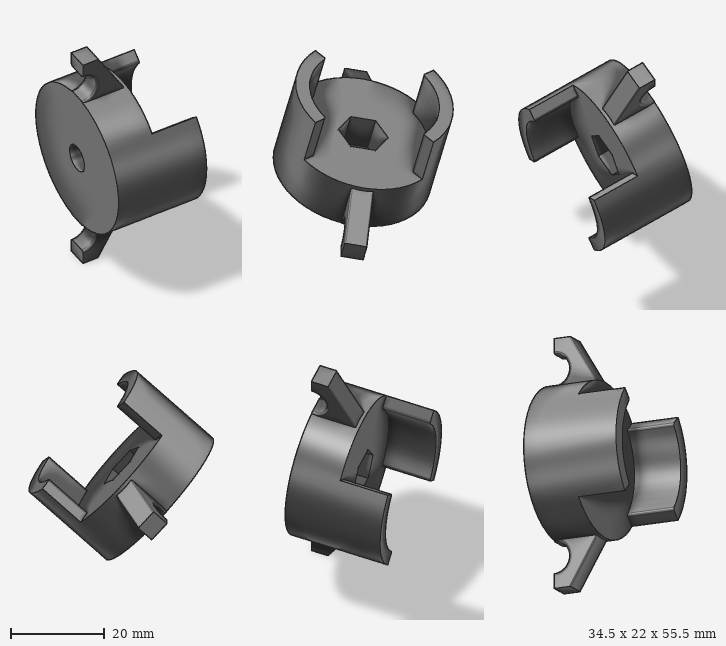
import cadquery as cq
import math

outer_radius = 17.25
wall_thickness = 3.05
body_length = 22.0
bore_radius = 3.1

nut_across_flats = 9.45
nut_seat_thickness = 3.05

prong_length = 11.0
prong_height = 22.85
prong_edge_round = 0.55

overall_height = 55.5
lug_width = 4.9
lug_tip_depth = 3.9
lug_root_depth = 10.15
notch_radius = 3.5
notch_round = 0.55
lug_tip_height = 3.45
lug_back_round = 0.2

overlap = 0.55
half_height = overall_height / 2
inner_radius = outer_radius - wall_thickness
front_y = -body_length / 2
shoulder_y = body_length / 2 - prong_length


def cylinder_along_y(radius, start_y, length):
    plane = cq.Workplane("XZ", origin=(0, start_y, 0))
    return plane.circle(radius).extrude(-length)


def make_cup():
    """Solid base up to the shoulder, with an open tube beyond it."""
    cup = cylinder_along_y(outer_radius, front_y, body_length)
    return cup.cut(cylinder_along_y(inner_radius, shoulder_y, prong_length))


def make_nut_pocket():
    """Hexagon with flats facing up and down, from the nut seat to the shoulder."""
    seat_y = front_y + nut_seat_thickness
    across_corners = nut_across_flats / math.cos(math.pi / 6)
    hexagon = cq.Workplane("XZ", origin=(0, seat_y, 0)).polygon(6, across_corners)
    return hexagon.extrude(-(shoulder_y - seat_y))


def make_prong_gap(side):
    """Wedge with radial flanks that clears the open end above (1) or below (-1) the prongs."""
    flank_angle = math.asin(prong_height / 2 / outer_radius)
    reach = 2 * outer_radius
    wedge_x = reach * math.cos(flank_angle)
    wedge_z = side * reach * math.sin(flank_angle)
    plane = cq.Workplane("XZ", origin=(0, shoulder_y, 0))
    outline = plane.polyline([(0, 0), (wedge_x, wedge_z), (-wedge_x, wedge_z)]).close()
    return outline.extrude(-(prong_length + overlap))


def round_prong_edges(cup):
    """Ease the four edges where the prong flanks meet the inner wall."""
    edge_x = inner_radius * math.sqrt(1 - (prong_height / 2 / outer_radius) ** 2)
    edge_z = inner_radius * prong_height / 2 / outer_radius
    edge_y = shoulder_y + prong_length / 2
    for side_x in (-1, 1):
        for side_z in (-1, 1):
            edge_point = (side_x * edge_x, edge_y, side_z * edge_z)
            edge = cq.selectors.NearestToPointSelector(edge_point)
            cup = cup.edges("|Y").edges(edge).fillet(prong_edge_round)
    return cup


def make_lug():
    """Upper lug: sloped back, and a round notch with eased edges in its front."""
    slope = (half_height - outer_radius) / (lug_root_depth - lug_tip_depth)
    buried_z = outer_radius - overlap
    buried_depth = lug_root_depth + (outer_radius - buried_z) / slope
    notch_z = half_height - lug_tip_height - notch_radius
    lug = (
        cq.Workplane("YZ")
        .moveTo(front_y, buried_z)
        .lineTo(front_y, notch_z - notch_radius)
        .threePointArc(
            (front_y + notch_radius, notch_z), (front_y, notch_z + notch_radius)
        )
        .lineTo(front_y, half_height)
        .lineTo(front_y + lug_tip_depth, half_height)
        .lineTo(front_y + buried_depth, buried_z)
        .close()
        .extrude(lug_width / 2, both=True)
    )
    lug = lug.edges("%CIRCLE").fillet(notch_round)
    back_edges = lug.faces(">Y").edges("not |X")
    return back_edges.fillet(lug_back_round)


upper_lug = make_lug()
cup = make_cup().cut(make_prong_gap(1)).cut(make_prong_gap(-1))
result = round_prong_edges(cup)
result = result.union(upper_lug).union(upper_lug.mirror("XY"))
result = result.cut(cylinder_along_y(bore_radius, front_y, body_length))
result = result.cut(make_nut_pocket())